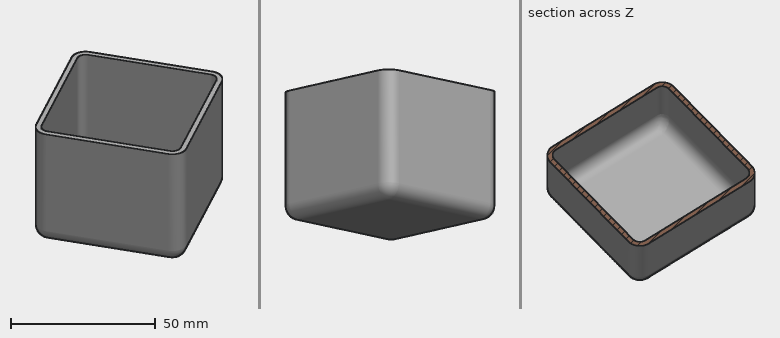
import cadquery as cq

side = 54.0
height = 45.0
wall = 2.0
outer_radius = 5.0
floor_fillet = 5.0

inner_side = side - 2 * wall
inner_radius = outer_radius - wall


def rounded_block(width, depth, corner_radius, bottom_radius):
    """Square block standing on Z = 0 with rounded upright and bottom edges."""
    block = cq.Workplane("XY").box(width, width, depth, centered=(True, True, False))
    block = block.edges("|Z").fillet(corner_radius)
    return block.faces("<Z").edges().fillet(bottom_radius)


body = rounded_block(side, height, outer_radius, outer_radius)

cavity = rounded_block(inner_side, height - wall, inner_radius, floor_fillet)

result = body.cut(cavity.translate((0, 0, wall)))